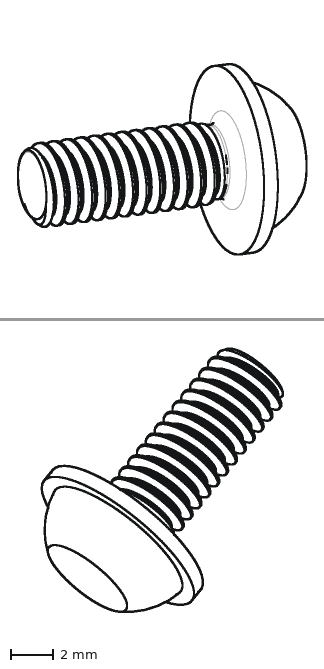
import cadquery as cq
import math


total_length = 13.1
shank_length = 10.0
flange_radius = 9.0 / 2
flange_thickness = 0.71
head_base_radius = 3.81
head_flat_radius = 2.35
head_top = total_length - shank_length

neck_radius = 1.77
neck_fillet = 0.59
neck_length = 0.72
runout_length = 0.72

thread_radius = 4.0 / 2
pitch = 2 * thread_radius * 0.7 / 4
flank_half_angle = math.radians(30)
crest_width = 0.12
root_width = 0.08
thread_depth = (pitch - crest_width - root_width) / (2 * math.tan(flank_half_angle))
root_radius = thread_radius - thread_depth
first_groove_distance = 0.72
groove_turns = 14.5
cutter_overrun = 0.04

tip_radius = 1.73
tip_chamfer_length = 0.42
tip_dish_radius = 1.64
tip_dish_depth = 0.04


def screw_blank():
    """Head, flange, neck and unthreaded shank, turned from one half profile."""
    dome_center = (
        (head_flat_radius**2 + head_top**2 - head_base_radius**2 - flange_thickness**2)
        / (2 * (head_top - flange_thickness))
    )
    dome_radius = math.hypot(head_base_radius, flange_thickness - dome_center)
    dome_middle = (dome_radius * math.sqrt(0.5), dome_center + dome_radius * math.sqrt(0.5))
    fillet_middle = (
        neck_radius + neck_fillet * (1 - math.sqrt(0.5)),
        -neck_fillet * (1 - math.sqrt(0.5)),
    )
    return (
        cq.Workplane("XZ")
        .moveTo(0, head_top)
        .lineTo(head_flat_radius, head_top)
        .threePointArc(dome_middle, (head_base_radius, flange_thickness))
        .lineTo(flange_radius, flange_thickness)
        .lineTo(flange_radius, 0)
        .lineTo(neck_radius + neck_fillet, 0)
        .threePointArc(fillet_middle, (neck_radius, -neck_fillet))
        .lineTo(neck_radius, -neck_length)
        .lineTo(thread_radius, -neck_length - runout_length)
        .lineTo(thread_radius, -shank_length + tip_chamfer_length)
        .lineTo(tip_radius, -shank_length)
        .lineTo(tip_dish_radius, -shank_length)
        .lineTo(0, -shank_length + tip_dish_depth)
        .close()
        .revolve(360, (0, 0), (0, 1))
    )


def thread_groove():
    """Right-handed V groove with a flat root, wound from below the tip up to the neck."""
    height = groove_turns * pitch
    start = -first_groove_distance - height
    outer_radius = thread_radius + cutter_overrun
    half_root = root_width / 2
    half_mouth = half_root + (outer_radius - root_radius) * math.tan(flank_half_angle)
    section = [
        (root_radius, start - half_root),
        (outer_radius, start - half_mouth),
        (outer_radius, start + half_mouth),
        (root_radius, start + half_root),
    ]
    edges = []
    for radius, level in section:
        helix = cq.Wire.makeHelix(pitch, height, radius, cq.Vector(0, 0, level))
        edges.append(helix.Edges()[0])
    faces = []
    for index, edge in enumerate(edges):
        faces.append(cq.Face.makeRuledSurface(edges[index - 1], edge))
    for end in (0, 1):
        corners = [edge.positionAt(end) for edge in edges]
        faces.append(cq.Face.makeFromWires(cq.Wire.makePolygon(corners, close=True)))
    return cq.Workplane(cq.Solid.makeSolid(cq.Shell.makeShell(faces)).fix())


screw = screw_blank().cut(thread_groove())
result = screw.rotate((0, 0, 0), (1, 0, 0), -90)